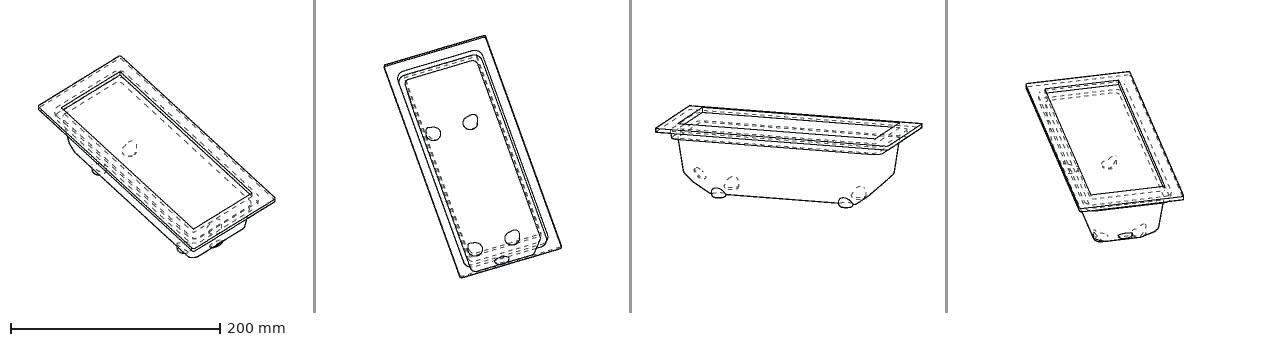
import cadquery as cq
import math

rim_length = 235.0
rim_width = 102.0
rim_edge_z = -2.8
rim_bottom_z = -6.5
rim_slope_x = 15.7
rim_slope_y = 12.7
rim_corner_radius = 1.9
rim_crest_radius = 7.0

lip_width = 2.0
recess_depth = 5.0

draft = math.tan(math.radians(7.0))
collar_length = 214.8
collar_width = 85.0
collar_bottom_z = -14.3
collar_corner_radius = 8.2

tub_length = 202.0
tub_width = 72.5
tub_bottom_z = -70.5
tub_corner_radius = 5.2
end_bevel_z = -48.2
side_bevel_z = -56.5
floor_length = 147.5
floor_width = 37.5
bevel_edge_radius = 3.0

overall_height = 73.0
boss_radius = 7.0
boss_edge_radius = 2.8
boss_projection = overall_height + tub_bottom_z
foot_spacing_x = 128.3
foot_spacing_y = 37.1
foot_height = 14.0
drain_distance = 10.5
drain_root = 4.7


def upright_block(length, width, bottom_z, top_z):
    outline = cq.Workplane("XY", origin=(0, 0, bottom_z)).rect(length, width)
    return outline.extrude(top_z - bottom_z)


def tapered_block(bottom_z, bottom_size, top_z, top_size):
    """Block with flat leaning walls between two rectangles given as (length, width)."""
    return (
        cq.Workplane("XY", origin=(0, 0, bottom_z))
        .rect(*bottom_size)
        .workplane(offset=top_z - bottom_z)
        .rect(*top_size)
        .loft(ruled=True)
    )


def make_rim():
    edge_size = (rim_length, rim_width)
    top_size = (rim_length - 2 * rim_slope_x, rim_width - 2 * rim_slope_y)
    slope = tapered_block(rim_edge_z, edge_size, 0, top_size)
    crest_edges = slope.edges("(not #Z) or >Z")
    rounded_slope = crest_edges.fillet(rim_crest_radius)

    plate = upright_block(*edge_size, rim_bottom_z, rim_edge_z)
    envelope = upright_block(*edge_size, rim_bottom_z, 0).edges("|Z").fillet(rim_corner_radius)
    return plate.union(rounded_slope).intersect(envelope)


def make_recess():
    length = rim_length - 2 * (rim_slope_x + lip_width)
    width = rim_width - 2 * (rim_slope_y + lip_width)
    return upright_block(length, width, -recess_depth, 0)


def make_collar():
    inset = draft * (rim_bottom_z - collar_bottom_z)
    top_size = (collar_length, collar_width)
    bottom_size = (collar_length - 2 * inset, collar_width - 2 * inset)
    collar = tapered_block(collar_bottom_z, bottom_size, rim_bottom_z, top_size)
    return collar.edges("not #Z").fillet(collar_corner_radius)


def half_size_at_bevel(top_size, bevel_z):
    return top_size / 2 - draft * (collar_bottom_z - bevel_z)


def tub_prism(plane, top_size, bevel_z, floor_size, depth):
    """Prism with the drafted and bevelled outline of the tub in one direction."""
    right_side = [
        (top_size / 2, collar_bottom_z),
        (half_size_at_bevel(top_size, bevel_z), bevel_z),
        (floor_size / 2, tub_bottom_z),
    ]
    left_side = [(-across, z) for across, z in reversed(right_side)]
    outline = cq.Workplane(plane).polyline(right_side + left_side).close()
    return outline.extrude(depth / 2, both=True)


def edges_within(bottom_z, top_z):
    """Selector for the edges whose centres lie between two heights."""
    return cq.selectors.BoxSelector(
        (-rim_length, -rim_width, bottom_z), (rim_length, rim_width, top_z)
    )


def make_tub():
    lengthwise = tub_prism("XZ", tub_length, end_bevel_z, floor_length, rim_width)
    crosswise = tub_prism("YZ", tub_width, side_bevel_z, floor_width, rim_length)
    tub = lengthwise.intersect(crosswise)

    upright_corners = tub.edges("not #Z").edges(edges_within(end_bevel_z, collar_bottom_z))
    tub = upright_corners.fillet(tub_corner_radius)

    margin = bevel_edge_radius / 2
    bevel_edges = tub.edges(edges_within(tub_bottom_z - margin, end_bevel_z + margin))
    return bevel_edges.fillet(bevel_edge_radius)


def make_boss(length):
    """Round boss along +Z with its rounded outer end at Z = 0."""
    boss = cq.Workplane("XY").circle(boss_radius).extrude(-length)
    return boss.faces(">Z").edges().fillet(boss_edge_radius)


def make_feet():
    foot = make_boss(foot_height).rotate((0, 0, 0), (1, 0, 0), 180)
    feet = cq.Workplane("XY")
    for x in (-foot_spacing_x / 2, foot_spacing_x / 2):
        for y in (-foot_spacing_y / 2, foot_spacing_y / 2):
            feet = feet.union(foot.translate((x, y, -overall_height)))
    return feet


def make_drain():
    bevel_x = half_size_at_bevel(tub_length, end_bevel_z)
    run = bevel_x - floor_length / 2
    drop = end_bevel_z - tub_bottom_z
    slope_length = math.hypot(run, drop)
    down_x = -run / slope_length
    down_z = -drop / slope_length
    outward = cq.Vector(-down_z, 0, down_x)
    on_bevel = cq.Vector(bevel_x + drain_distance * down_x, 0, end_bevel_z + drain_distance * down_z)
    end_centre = on_bevel + outward * boss_projection

    boss = make_boss(boss_projection + drain_root)
    seat = cq.Plane(origin=end_centre, xDir=(0, 1, 0), normal=outward)
    return cq.Workplane(boss.val().moved(cq.Location(seat)))


result = (
    make_rim()
    .cut(make_recess())
    .union(make_collar())
    .union(make_tub())
    .union(make_feet())
    .union(make_drain())
)